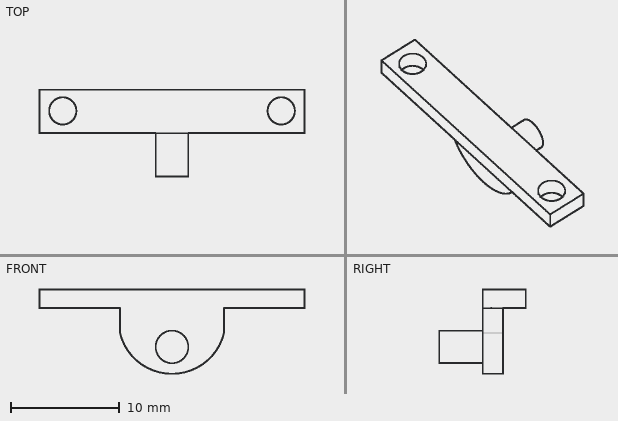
import cadquery as cq

bar_length = 24.4
bar_depth = 4.0
bar_thickness = 1.73
hole_diameter = 2.5
hole_spacing = 20.1
hole_setback = 2.05

plate_width = 9.61
plate_thickness = 1.9
plate_bottom = -7.78
plate_side_bottom = -3.98

pin_diameter = 3.0
pin_length = 4.0
pin_height = -5.3

bar = (
    cq.Workplane("XY")
    .box(bar_length, bar_depth, bar_thickness, centered=(True, False, False))
    .translate((0, 0, -bar_thickness))
)
holes = (
    cq.Workplane("XY")
    .pushPoints([(side * hole_spacing / 2, hole_setback) for side in (-1, 1)])
    .circle(hole_diameter / 2)
    .extrude(-bar_thickness)
)

half_width = plate_width / 2
plate = (
    cq.Workplane("XZ")
    .moveTo(-half_width, -bar_thickness)
    .lineTo(-half_width, plate_side_bottom)
    .threePointArc((0, plate_bottom), (half_width, plate_side_bottom))
    .lineTo(half_width, -bar_thickness)
    .close()
    .extrude(-plate_thickness)
)
pin = (
    cq.Workplane("XZ")
    .center(0, pin_height)
    .circle(pin_diameter / 2)
    .extrude(pin_length)
)

result = bar.cut(holes).union(plate).union(pin)